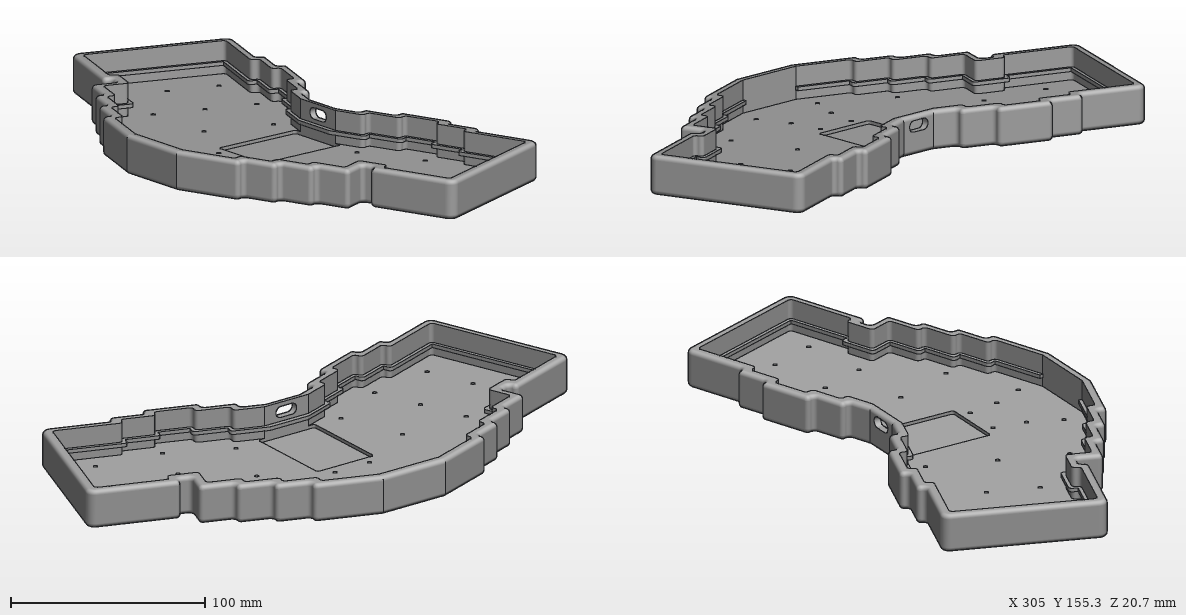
import cadquery as cq
import math


LENGTH = 305.0
DEPTH = 155.3
HEIGHT = 20.7
TOP_Z = HEIGHT / 2
BOTTOM_Z = -HEIGHT / 2

WALL = 5.0
FLOOR_THICKNESS = 3.0
FLOOR_Z = BOTTOM_Z + FLOOR_THICKNESS

LIP_WIDTH = 1.98
LIP_THICKNESS = 1.98
LIP_DEPTH = 10.7
LIP_BOTTOM_Z = TOP_Z - LIP_DEPTH - LIP_THICKNESS

STEP_RADIUS = 2.35
END_RADIUS = 5.0
CAVITY_RADIUS = 2.0
RIM_FILLET = 2.3

WING_ANGLE = math.radians(20)
WING_WIDTH = 78.0
KEY_CLEARANCE = 1.0
ROWS = 4
KEY_PITCH = (WING_WIDTH - 2 * KEY_CLEARANCE) / ROWS
STAGGER = KEY_PITCH / 4

FRONT_WALL_Y = WALL - DEPTH / 2
BACK_OUTER_Y = 37.8
BACK_WALL_Y = 34.0
BACK_LIP_Y = 31.0
FRONT_LIP_GAP = 37.2

CENTRE_REACH = 21.5
STEP_REACH = 116.0

RECESS_WIDTH = 36.0
RECESS_FRONT_Y = -17.7
RECESS_DEPTH = 1.8
RECESS_RADIUS = 1.5

SLOT_LENGTH = 13.0
SLOT_HEIGHT = 6.0
SLOT_Z = 5.0

HOLE_DIAMETER = 2.2
HOLES_PER_COLUMN = 3
WING_HOLE_COLUMNS = [(1, 0.5, 1.49), (3, 0.87, 1.49), (5, -0.39, 2)]
CENTRE_HOLES = [(11.0, -23.5), (14.3, -41.8), (22.0, -59.8)]

COS = math.cos(WING_ANGLE)
SIN = math.sin(WING_ANGLE)
ORIGIN_X = WALL - LENGTH / 2
ORIGIN_Y = DEPTH / 2 - WALL - WING_WIDTH * COS


def wing_point(along, across):
    """Turn a position along and across the left wing into part coordinates."""
    x = ORIGIN_X + along * COS + across * SIN
    y = ORIGIN_Y - along * SIN + across * COS
    return (x, y)


def wing_line_end(across, y):
    """Point where a line along the left wing reaches the given Y."""
    along = (ORIGIN_Y + across * COS - y) / SIN
    return wing_point(along, across)


def mirrored(points):
    return [(-x, y) for x, y in reversed(points)]


def step_before(column):
    """Place of a step set one clearance before a column edge."""
    return column * KEY_PITCH


def step_after(column):
    """Place of a step set one clearance after a column edge."""
    return column * KEY_PITCH + 2 * KEY_CLEARANCE


def stepped_edge(start_across, steps, end_y):
    """Points of a wing edge; each step is (place along the wing, change in staggers)."""
    across = start_across
    points = [wing_point(0, across)]
    for along, staggers in steps:
        points.append(wing_point(along, across))
        across += staggers * STAGGER
        points.append(wing_point(along, across))
    points.append(wing_line_end(across, end_y))
    return points


def cavity_outline(back_y, z):
    """Sharp-cornered cavity outline whose straight back lies at back_y."""
    front_steps = [
        (step_after(2), 1),
        (step_before(3), -3),
        (step_before(4), -1),
        (step_before(5), -1),
        (step_before(6), -1),
    ]
    back_steps = [
        (step_before(2), 1),
        (step_before(3), 1),
        (step_after(4), -1),
        (step_after(5), -1),
    ]
    front = stepped_edge(0, front_steps, FRONT_WALL_Y)
    back = stepped_edge(WING_WIDTH, back_steps, back_y)
    left_half = list(reversed(back)) + front
    points = left_half + mirrored(left_half)
    return cq.Workplane("XY", origin=(0, 0, z)).polyline(points).close()


def round_corners(block, radius, nearest, farthest):
    """Round the upright edges whose distance from the middle plane lies in the given range."""
    corners = block.edges("|Z").filter(lambda edge: nearest < abs(edge.Center().x) < farthest)
    return corners.fillet(radius)


def make_body():
    outline = cavity_outline(BACK_OUTER_Y - WALL, BOTTOM_Z)
    body = outline.offset2D(WALL, "intersection").extrude(HEIGHT)
    body = round_corners(body, STEP_RADIUS, CENTRE_REACH, STEP_REACH)
    body = round_corners(body, END_RADIUS, STEP_REACH, LENGTH)
    return body.faces("<Z or >Z").edges().fillet(RIM_FILLET)


def make_cavity():
    cavity = cavity_outline(BACK_WALL_Y, FLOOR_Z).extrude(TOP_Z - FLOOR_Z)
    return round_corners(cavity, CAVITY_RADIUS, CENTRE_REACH, LENGTH)


def make_lip_opening():
    """Space inside the lip, including the gap in the lip along the straight front wall."""
    outline = cavity_outline(BACK_LIP_Y + LIP_WIDTH, LIP_BOTTOM_Z)
    opening = outline.offset2D(-LIP_WIDTH).extrude(LIP_THICKNESS)
    gap = (
        cq.Workplane("XY", origin=(0, FRONT_WALL_Y, LIP_BOTTOM_Z))
        .rect(FRONT_LIP_GAP, 4 * LIP_WIDTH)
        .extrude(LIP_THICKNESS)
    )
    return opening.union(gap)


def make_lip(cavity):
    slab = (
        cq.Workplane("XY", origin=(0, 0, LIP_BOTTOM_Z))
        .rect(LENGTH, DEPTH)
        .extrude(LIP_THICKNESS)
    )
    return cavity.intersect(slab).cut(make_lip_opening())


def make_recess():
    length = BACK_WALL_Y - RECESS_FRONT_Y
    return (
        cq.Workplane("XY", origin=(0, RECESS_FRONT_Y + length / 2, FLOOR_Z - RECESS_DEPTH))
        .rect(RECESS_WIDTH, length)
        .extrude(RECESS_DEPTH)
        .edges("|Z")
        .fillet(RECESS_RADIUS)
    )


def make_cable_slot():
    return (
        cq.Workplane("XZ", origin=(0, BACK_OUTER_Y, SLOT_Z))
        .slot2D(SLOT_LENGTH, SLOT_HEIGHT)
        .extrude(BACK_OUTER_Y - BACK_WALL_Y)
    )


def hole_positions():
    left_holes = mirrored(CENTRE_HOLES)
    for column, first, spacing in WING_HOLE_COLUMNS:
        along = KEY_CLEARANCE + column * KEY_PITCH
        for i in range(HOLES_PER_COLUMN):
            across = KEY_CLEARANCE + (first + i * spacing) * KEY_PITCH
            left_holes.append(wing_point(along, across))
    return left_holes + mirrored(left_holes)


def make_holes():
    return (
        cq.Workplane("XY", origin=(0, 0, BOTTOM_Z))
        .pushPoints(hole_positions())
        .circle(HOLE_DIAMETER / 2)
        .extrude(FLOOR_THICKNESS)
    )


cavity = make_cavity()
hollow = cavity.cut(make_lip(cavity))

result = (
    make_body()
    .cut(hollow)
    .cut(make_recess())
    .cut(make_cable_slot())
    .cut(make_holes())
)